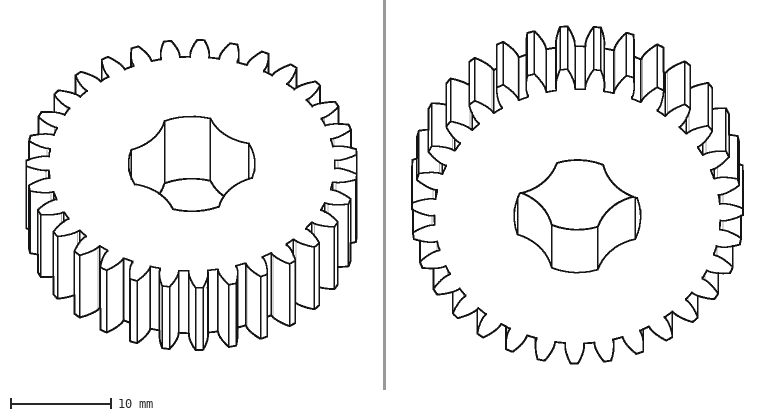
import cadquery as cq
import math

MODULE = 1.0
TOOTH_COUNT = 31
PRESSURE_ANGLE = math.radians(20)
ADDENDUM = MODULE
DEDENDUM = 1.25 * MODULE
FACE_WIDTH = 9.38

PITCH_RADIUS = MODULE * TOOTH_COUNT / 2
BASE_RADIUS = PITCH_RADIUS * math.cos(PRESSURE_ANGLE)
TIP_RADIUS = PITCH_RADIUS + ADDENDUM
ROOT_RADIUS = PITCH_RADIUS - DEDENDUM
TOOTH_PITCH = 2 * math.pi / TOOTH_COUNT
FLANK_POINTS = 7

BORE_RADIUS = 6.3
LOBE_RADIUS = 5.1
LOBE_CLEARANCE = 5.1
LOBE_COUNT = 4


def polar(radius, angle):
    """Point at a radius and angle about the gear axis."""
    return (radius * math.cos(angle), radius * math.sin(angle))


def involute(angle):
    """Involute function of a pressure angle in radians."""
    return math.tan(angle) - angle


def tooth_half_angle(radius):
    """Half the angle a tooth spans at a radius on its involute flank."""
    half_angle_at_pitch = TOOTH_PITCH / 4
    flank_angle = math.acos(BASE_RADIUS / radius)
    return half_angle_at_pitch + involute(PRESSURE_ANGLE) - involute(flank_angle)


def flank_points(tooth_angle, side):
    """Points from the base circle to the tip, on one side (-1 or 1) of a tooth."""
    radius_step = (TIP_RADIUS - BASE_RADIUS) / (FLANK_POINTS - 1)
    radii = [BASE_RADIUS + i * radius_step for i in range(FLANK_POINTS - 1)] + [TIP_RADIUS]
    return [polar(r, tooth_angle + side * tooth_half_angle(r)) for r in radii]


def gear_blank():
    """Toothed disc, with the middle of the first tooth on +X."""
    base_half_angle = tooth_half_angle(BASE_RADIUS)
    outline = cq.Workplane("XY").moveTo(*polar(ROOT_RADIUS, -base_half_angle))
    for tooth in range(TOOTH_COUNT):
        angle = tooth * TOOTH_PITCH
        rising = flank_points(angle, -1)
        falling = flank_points(angle, 1)[::-1]
        gap_middle = angle + TOOTH_PITCH / 2
        next_root = angle + TOOTH_PITCH - base_half_angle
        outline = (
            outline.lineTo(*rising[0])
            .spline(rising[1:], includeCurrent=True)
            .threePointArc(polar(TIP_RADIUS, angle), falling[0])
            .spline(falling[1:], includeCurrent=True)
            .lineTo(*polar(ROOT_RADIUS, angle + base_half_angle))
            .threePointArc(polar(ROOT_RADIUS, gap_middle), polar(ROOT_RADIUS, next_root))
        )
    return outline.close().extrude(FACE_WIDTH)


def lobed_bore():
    """Cutter for the bore: a cylinder less the four lobes."""
    lobe_distance = LOBE_CLEARANCE + LOBE_RADIUS
    lobes = (
        cq.Workplane("XY")
        .polarArray(lobe_distance, 0, 360, LOBE_COUNT)
        .circle(LOBE_RADIUS)
        .extrude(FACE_WIDTH)
    )
    return cq.Workplane("XY").circle(BORE_RADIUS).extrude(FACE_WIDTH).cut(lobes)


result = gear_blank().cut(lobed_bore())